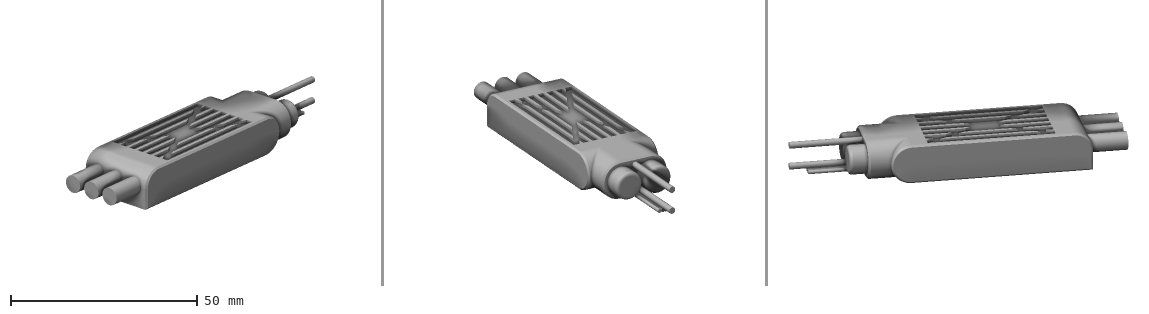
import cadquery as cq
import math


case_width = 22.0
case_height = 11.0
case_front_y = -35.5
case_back_y = 19.6
case_front_radius = 5.0
edge_chamfer = 0.5
case_back_radius = case_height / 2
mid_z = case_height / 2
case_mid_y = (case_front_y + case_back_y) / 2
back_round_y = case_back_y - case_back_radius

neck_width = 20.0
neck_end_y = 25.6

capacitor_diameter = 8.0
capacitor_spacing = neck_width - case_height
capacitor_end_y = 30.5
capacitor_fillet = 1.0

motor_lead_diameter = 5.0
motor_lead_pitch = 7.1
motor_lead_z = case_height - case_front_radius
motor_lead_end_y = -45.5

power_lead_diameter = 1.8
power_lead_heights = (3.0, 9.1)
power_lead_end_y = 45.5
signal_lead_diameter = 1.1
signal_lead_pitch = 1.1
signal_lead_z = 1.3
signal_lead_end_y = 40.5

row_of_three = (-0.9, 0, 0.9)

both_sides = (-1, 1)

sink_length = 34.9
sink_base = 0.5
fin_height = 1.0
fin_width = 0.9
fin_pitch = 2.9
inner_fin_x = 1.0
fins_per_side = 4
sink_bottom_z = case_height - fin_height - sink_base
sink_floor_z = case_height - fin_height

arm_slope = 1.95
arm_outer_start = 2.1
arm_inner_start = -1.4


def lead(diameter, x, z, start_y, end_y):
    """A round lead along Y between two places."""
    low_y = min(start_y, end_y)
    circle = cq.Workplane("XZ", origin=(x, low_y, z)).circle(diameter / 2)
    return circle.extrude(-abs(end_y - start_y))


def case_shell():
    """Side outline with a full-round back and a rounded top front edge, chamfered on both sides."""
    slant = math.cos(math.radians(45))
    round_mid_y = case_front_y + case_front_radius * (1 - slant)
    round_mid_z = case_height - case_front_radius * (1 - slant)
    outline = (
        cq.Workplane("YZ", origin=(-case_width / 2, 0, 0))
        .moveTo(case_front_y, 0)
        .lineTo(back_round_y, 0)
        .threePointArc((case_back_y, mid_z), (back_round_y, case_height))
        .lineTo(case_front_y + case_front_radius, case_height)
        .threePointArc((round_mid_y, round_mid_z), (case_front_y, case_height - case_front_radius))
        .close()
    )
    return outline.extrude(case_width).faces("<X or >X").chamfer(edge_chamfer)


def neck():
    """Flat-topped neck with half-round sides, chamfered at its end."""
    section = cq.Workplane("XZ", origin=(0, back_round_y, mid_z)).slot2D(neck_width, case_height)
    return section.extrude(-(neck_end_y - back_round_y)).faces(">Y").chamfer(edge_chamfer)


def capacitor(x):
    """Capacitor can with a rounded end."""
    can = lead(capacitor_diameter, x, mid_z, back_round_y, capacitor_end_y)
    return can.faces(">Y").edges().fillet(capacitor_fillet)


def leads():
    """All motor, power and signal leads, each rooted inside the case."""
    parts = []
    for step in row_of_three:
        motor_x = step * motor_lead_pitch
        parts.append(lead(motor_lead_diameter, motor_x, motor_lead_z, case_mid_y, motor_lead_end_y))
        signal_x = step * signal_lead_pitch
        parts.append(lead(signal_lead_diameter, signal_x, signal_lead_z, back_round_y, signal_lead_end_y))
    for z in power_lead_heights:
        parts.append(lead(power_lead_diameter, 0, z, back_round_y, power_lead_end_y))
    return parts


def sink_slab():
    """Block of space that the heat sink takes out of the top of the case."""
    depth = case_height - sink_bottom_z
    corner = (-case_width / 2, case_mid_y - sink_length / 2, sink_bottom_z)
    return cq.Workplane("XY", origin=corner).box(case_width, sink_length, depth, centered=False)


def channel(x):
    """Full-length channel between two fins, starting at x."""
    corner = (x, case_mid_y - sink_length / 2, sink_floor_z)
    return cq.Workplane("XY", origin=corner).box(
        fin_pitch - fin_width, sink_length, fin_height, centered=False
    )


def cross_arm(side, end):
    """One slanted arm of the X-shaped clearing; side and end are the signs of its X and Y."""
    reach = inner_fin_x + (fins_per_side - 1) * fin_pitch
    rise = arm_slope * reach
    corners = [
        (0, arm_inner_start),
        (reach, arm_inner_start + rise),
        (reach, arm_outer_start + rise),
        (0, arm_outer_start),
    ]
    return (
        cq.Workplane("XY", origin=(0, case_mid_y, sink_floor_z))
        .polyline([(side * x, end * y) for x, y in corners])
        .close()
        .extrude(fin_height)
    )


def cross_hub():
    """Middle of the X-shaped clearing, where the two innermost fins are interrupted."""
    hub_width = 2 * (inner_fin_x + fin_width)
    hub_length = 2 * (arm_outer_start + arm_slope * inner_fin_x)
    return cq.Workplane("XY", origin=(0, case_mid_y, sink_floor_z)).box(
        hub_width, hub_length, fin_height, centered=(True, True, False)
    )


def finned(block):
    """Cut the channels and the X-shaped clearing, leaving the fins and a rim along each side."""
    first_channel_x = inner_fin_x + fin_width - fins_per_side * fin_pitch
    for index in range(2 * fins_per_side - 1):
        block = block.cut(channel(first_channel_x + index * fin_pitch))
    for side in both_sides:
        for end in both_sides:
            block = block.cut(cross_arm(side, end))
    return block.cut(cross_hub())


shell = case_shell()
case = shell.cut(sink_slab()).union(neck().cut(sink_slab()))
for side in both_sides:
    case = case.union(capacitor(side * capacitor_spacing / 2))
for part in leads():
    case = case.union(part)

heat_sink = finned(shell.intersect(sink_slab()))

result = cq.Compound.makeCompound([case.val(), heat_sink.val()])